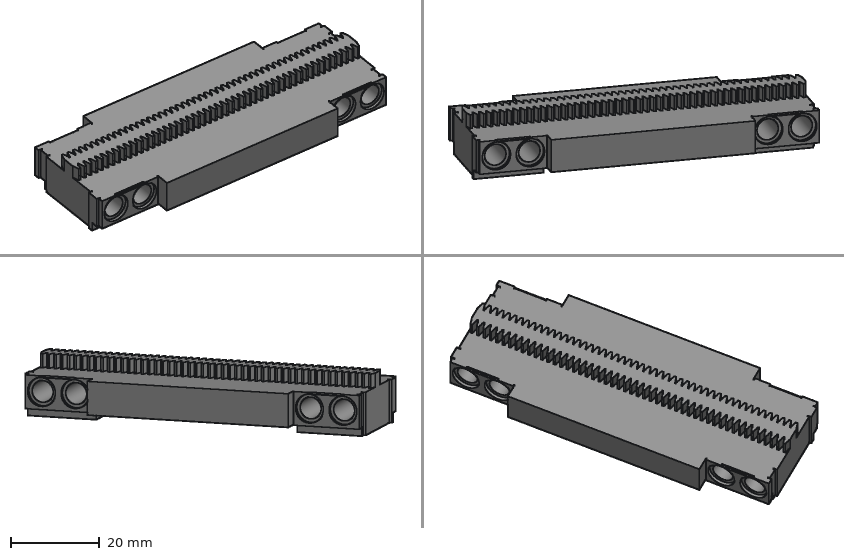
import cadquery as cq

overall_length = 80.8
hole_pitch = 8.0
body_length = 79.8
body_width = 25.6
wing_length = 6 * hole_pitch
wing_width = 31.8
body_height = 7.75
foot_width = 19.2
foot_height = 2.2

rack_height = 3.2
rack_width = 6.55
rack_core_width = 3.15
tooth_count = 50
tooth_pitch = hole_pitch / 5
tooth_tip_width = 0.5
tooth_gap_width = 0.25

hole_diameter = 5.0
counterbore_diameter = 6.6
counterbore_depth = 0.9
notch_side_depth = 0.5
notch_depth = 0.4
hole_z = -notch_depth - counterbore_diameter / 2
hole_offsets = [3.5 * hole_pitch, 4.5 * hole_pitch]

latch_width = 3.0
latch_low = 8.4
latch_high = latch_low + latch_width
tab_length = (overall_length - body_length) / 2
pocket_depth = 0.5

slit_width = 0.2
tab_slit_depth = 0.4
pocket_slit_depth = 0.5
corner_slit_depth = 0.4


def block(x_range, y_range, z_range):
    """Box spanning the given (low, high) pairs."""
    lows, highs = zip(x_range, y_range, z_range)
    sizes = [high - low for low, high in zip(lows, highs)]
    return cq.Workplane("XY").box(*sizes, centered=False).translate(lows)


def both_ends(solid):
    """The solid together with its half-turn copy about Z."""
    return solid.union(solid.rotate((0, 0, 0), (0, 0, 1), 180))


def four_corners(solid):
    """The solid mirrored to all four quadrants of the plan."""
    pair = solid.union(solid.mirror("YZ"))
    return pair.union(pair.mirror("XZ"))


deck_bottom = -body_height
foot_bottom = deck_bottom - foot_height
half_length = body_length / 2
half_width = body_width / 2
half_wing = wing_length / 2
full_height = (foot_bottom, 0)
deck_range = (deck_bottom, 0)
foot_range = (foot_bottom, deck_bottom)


def make_body():
    """Deck with side wings and a foot under each end."""
    deck = block((-half_width, half_width), (-half_length, half_length), deck_range)
    wings = block((-wing_width / 2, wing_width / 2), (-half_wing, half_wing), deck_range)
    plate = deck.union(wings)
    foot = block((-foot_width / 2, foot_width / 2), (half_wing, half_length), foot_range)
    return plate.union(both_ends(foot))


def make_tabs():
    """End tabs; the part below the deck is only as wide as the foot."""
    tab_y = (half_length, half_length + tab_length)
    upper = block((-latch_high, -latch_low), tab_y, deck_range)
    lower = block((-foot_width / 2, -latch_low), tab_y, foot_range)
    return both_ends(upper.union(lower))


def make_latch_cuts():
    """End pockets and the slits beside the tabs and inside the pockets."""
    pocket_floor = half_length - pocket_depth
    cuts = block((latch_low, latch_high), (pocket_floor, half_length), full_height)
    pocket_slit_y = (pocket_floor - pocket_slit_depth, half_length)
    tab_slit_y = (half_length - tab_slit_depth, half_length)
    slits = [
        ((latch_low, latch_low + slit_width), pocket_slit_y),
        ((latch_high - slit_width, latch_high), pocket_slit_y),
        ((-latch_low, -latch_low + slit_width), tab_slit_y),
        ((-latch_high - slit_width, -latch_high), tab_slit_y),
    ]
    for slit_x, slit_y in slits:
        cuts = cuts.union(block(slit_x, slit_y, full_height))
    return both_ends(cuts)


def make_corner_slits():
    """Slits where the wings meet the narrower ends."""
    slit = block(
        (half_width - corner_slit_depth, half_width),
        (half_wing, half_wing + slit_width),
        deck_range,
    )
    return four_corners(slit)


def make_hole_cuts():
    """Cross holes, counterbores and the notch above each pair of holes."""
    notch_x = (half_width - notch_side_depth, half_width)
    cuts = four_corners(block(notch_x, hole_offsets, (-notch_depth, 0)))
    seat_x = half_width - counterbore_depth
    for offset in hole_offsets:
        for hole_y in (-offset, offset):
            axis = cq.Workplane("YZ").center(hole_y, hole_z)
            cuts = cuts.union(axis.circle(hole_diameter / 2).extrude(half_width, both=True))
            seat = axis.workplane(offset=seat_x).circle(counterbore_diameter / 2)
            counterbore = seat.extrude(counterbore_depth)
            cuts = cuts.union(counterbore).union(counterbore.mirror("YZ"))
    return cuts


def make_rack():
    """Rack bar with trapezoid teeth along both sides."""
    root_x = rack_core_width / 2
    tip_x = rack_width / 2
    half_root = (tooth_pitch - tooth_gap_width) / 2
    half_tip = tooth_tip_width / 2
    right_side = []
    for index in range(tooth_count):
        tooth_y = (index + 0.5 - tooth_count / 2) * tooth_pitch
        right_side += [
            (root_x, tooth_y - half_root),
            (tip_x, tooth_y - half_tip),
            (tip_x, tooth_y + half_tip),
            (root_x, tooth_y + half_root),
        ]
    right_side = [(root_x, -half_length)] + right_side + [(root_x, half_length)]
    left_side = [(-x, y) for x, y in reversed(right_side)]
    return cq.Workplane("XY").polyline(right_side + left_side).close().extrude(rack_height)


body = make_body().union(make_tabs())
body = body.cut(make_latch_cuts()).cut(make_corner_slits()).cut(make_hole_cuts())
result = body.union(make_rack())